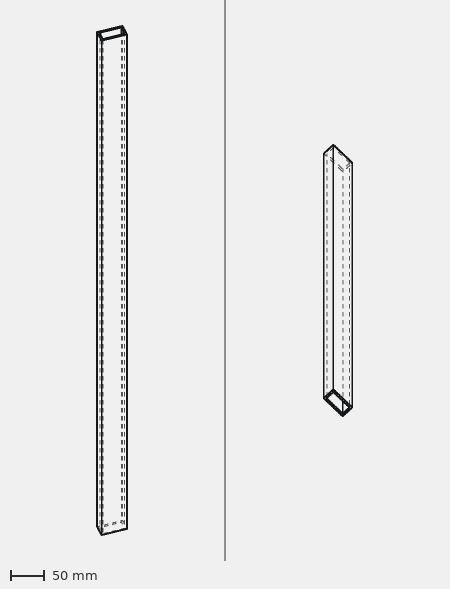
import cadquery as cq

WIDTH = 20.0
DEPTH = 40.0
LENGTH = 1000.0
WALL = 3.0


def upright_bar(size_x, size_y):
    """Full-length rectangular bar centred on the Z axis, with its base at Z = 0."""
    return cq.Workplane("XY").rect(size_x, size_y).extrude(LENGTH)


outer = upright_bar(WIDTH, DEPTH)
bore = upright_bar(WIDTH - 2 * WALL, DEPTH - 2 * WALL)

result = outer.cut(bore)